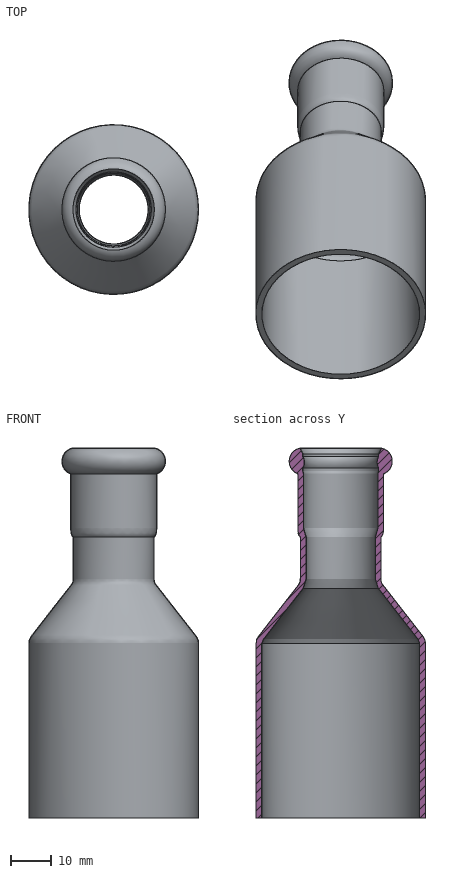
import cadquery as cq
import math

height = 91.5
body_diameter = 42.0
body_bore = 39.0
neck_diameter = 20.0
neck_bore = 17.0
socket_diameter = 21.3
socket_bore = 18.3
wall = (body_diameter - body_bore) / 2

shoulder_bottom = 43.2
shoulder_top = 45.1
neck_bend_bottom = 57.7
neck_bottom = 59.1
neck_top = 69.45
socket_bottom = 71.6
shoulder_edge_diameter = 40.5
neck_bend_diameter = 20.9

bead_diameter = 25.6
bead_height = 6.4
mouth_diameter = 20.1
lip_bore = 18.7
lip_taper_depth = 1.5
lip_bottom_depth = 2.1
seal_bottom_depth = 4.9
seat_depth = 5.8
seal_bore = 17.9

bead_bottom = height - bead_height
bead_middle = height - bead_height / 2
seal_middle = height - (lip_bottom_depth + seal_bottom_depth) / 2
body_radius = body_diameter / 2
neck_radius = neck_diameter / 2
socket_radius = socket_diameter / 2

up = (0, 1)
cone_direction = (
    (neck_bend_diameter - shoulder_edge_diameter) / 2,
    neck_bend_bottom - shoulder_top,
)


def outer_solid():
    """Revolve the outside of the fitting about Z."""
    profile = (
        cq.Workplane("XZ")
        .lineTo(body_radius, 0)
        .lineTo(body_radius, shoulder_bottom)
        .spline([(shoulder_edge_diameter / 2, shoulder_top)], tangents=[up, cone_direction],
                includeCurrent=True)
        .lineTo(neck_bend_diameter / 2, neck_bend_bottom)
        .spline([(neck_radius, neck_bottom)], tangents=[cone_direction, up], includeCurrent=True)
        .lineTo(neck_radius, neck_top)
        .spline([(socket_radius, socket_bottom)], tangents=[(1, 1), up], includeCurrent=True)
        .lineTo(socket_radius, bead_bottom)
        .threePointArc((bead_diameter / 2, bead_middle), (mouth_diameter / 2, height))
        .lineTo(0, height)
        .close()
    )
    return profile.revolve(360, (0, 0, 0), (0, 1, 0))


def inner_cavity():
    """Revolve the through bore, keeping the wall nearly even."""
    slope = math.atan2(cone_direction[1], -cone_direction[0])
    inward = wall * math.sin(slope)
    downward = wall * math.cos(slope)
    lip_radius = lip_bore / 2
    profile = (
        cq.Workplane("XZ")
        .lineTo(body_bore / 2, 0)
        .lineTo(body_bore / 2, shoulder_bottom)
        .lineTo(shoulder_edge_diameter / 2 - inward, shoulder_top - downward)
        .lineTo(neck_bend_diameter / 2 - inward, neck_bend_bottom - downward)
        .lineTo(neck_bore / 2, neck_bottom)
        .lineTo(neck_bore / 2, neck_top)
        .lineTo(socket_bore / 2, socket_bottom)
        .lineTo(socket_bore / 2, bead_bottom)
        .lineTo(lip_radius, height - seat_depth)
        .lineTo(lip_radius, height - seal_bottom_depth)
        .threePointArc((seal_bore / 2, seal_middle), (lip_radius, height - lip_bottom_depth))
        .lineTo(lip_radius, height - lip_taper_depth)
        .lineTo(mouth_diameter / 2, height)
        .lineTo(0, height)
        .close()
    )
    return profile.revolve(360, (0, 0, 0), (0, 1, 0))


result = outer_solid().cut(inner_cavity())